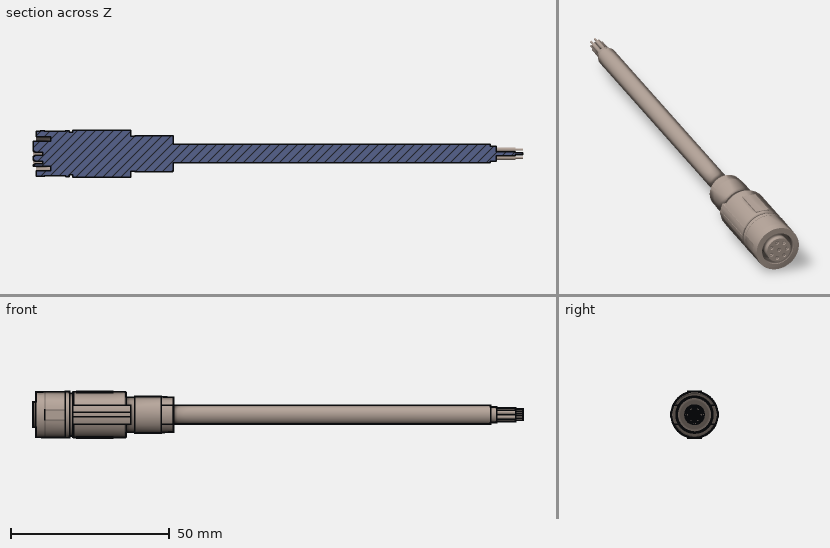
import cadquery as cq
import math


collar_start = 1.0
collar_shoulder = 3.7
band_start = 10.2
band_end = 11.6
sleeve_start = 12.5
sleeve_end = 29.4
rib_end = 30.9
grip_start = 32.1
grip_end = 40.5
tail_end = 44.3
jacket_end = 144.3
inner_jacket_end = 146.2
insulation_end = 152.2
wire_end = 154.5

collar_front_diameter = 14.4
collar_diameter = 14.5
band_diameter = 14.7
groove_diameter = 13.6
sleeve_diameter = 14.5
neck_diameter = 11.1
grip_diameter = 11.6
tail_start_diameter = 11.5
tail_end_diameter = 11.0
jacket_diameter = 6.0
inner_jacket_diameter = 5.0

sleeve_lead_in = 0.3
sleeve_rounding = 0.5

bore_diameter = 10.7
bore_depth = 4.6
insert_diameter = 8.0
contact_circle_diameter = 5.5
contact_entry_diameter = 1.4
contact_entry_depth = 0.5
contact_bore_diameter = 0.8
contact_bore_depth = 3.1
outer_contacts = 7

collar_flat_width = 3.2

pad_start = 13.8
pad_end = 25.2
pad_width = 4.3
height_over_pads = 14.8

rib_diameter = 14.7
rib_width = 6.0
ridge_diameter = 15.0
ridge_width = 1.4

tab_diameter = tail_start_diameter
tab_width = rib_width
tab_rounding = 0.5

outer_wires = 6
wire_circle_diameter = 3.0
insulation_diameter = 1.4
wire_diameter = 0.7


def rod(start, end, diameter, y=0.0, z=0.0):
    """Cylinder along X between two stations."""
    return cq.Workplane("YZ", origin=(start, y, z)).circle(diameter / 2).extrude(end - start)


def block(start, end, width, height):
    """Block along X, centred on the axis, with its width along Y and its height along Z."""
    return cq.Workplane("YZ", origin=(start, 0, 0)).rect(width, height).extrude(end - start)


def revolve_profile(steps):
    """Solid of revolution about X from (station, diameter) steps, closed along the axis."""
    outline = [(station, diameter / 2) for station, diameter in steps]
    first_station = steps[0][0]
    last_station = steps[-1][0]
    closed = [(first_station, 0)] + outline + [(last_station, 0)]
    return cq.Workplane("XY").polyline(closed).close().revolve(360, (0, 0, 0), (1, 0, 0))


def centre_and_ring(count, circle_diameter, first_angle):
    """Centre point followed by equally spaced points on a circle, as (y, z) pairs."""
    positions = [(0.0, 0.0)]
    for index in range(count):
        angle = math.radians(first_angle + index * 360 / count)
        y = circle_diameter / 2 * math.cos(angle)
        z = circle_diameter / 2 * math.sin(angle)
        positions.append((y, z))
    return positions


def side_strips(solid, width):
    """Slice through a solid, leaving strips of the given width showing on its +Y and -Y sides."""
    return solid.intersect(block(0, wire_end, ridge_diameter, width))


def make_body():
    """Collar, neck, grip, tail and cable jackets, turned in one piece."""
    return revolve_profile([
        (collar_start, collar_front_diameter),
        (collar_shoulder, collar_diameter),
        (band_start, collar_diameter),
        (band_start, band_diameter),
        (band_end, band_diameter),
        (band_end, groove_diameter),
        (sleeve_start, groove_diameter),
        (sleeve_start, neck_diameter),
        (grip_start, neck_diameter),
        (grip_start, grip_diameter),
        (grip_end, grip_diameter),
        (grip_end, tail_start_diameter),
        (tail_end, tail_end_diameter),
        (tail_end, jacket_diameter),
        (jacket_end, jacket_diameter),
        (jacket_end, inner_jacket_diameter),
        (inner_jacket_end, inner_jacket_diameter),
    ])


def cut_collar_flats(body):
    """Shallow rectangular flats on the +Y and -Y sides of the collar."""
    width_across_flats = math.sqrt(collar_diameter**2 - collar_flat_width**2)
    outer = block(collar_shoulder, band_start, band_diameter, collar_flat_width)
    kept = block(collar_shoulder, band_start, width_across_flats, collar_flat_width)
    return body.cut(outer.cut(kept))


def make_sleeve():
    """Sleeve with a small lead-in at the plug end and a rounded far end."""
    sleeve = rod(sleeve_start, sleeve_end, sleeve_diameter)
    sleeve = sleeve.faces("<X").edges().chamfer(sleeve_lead_in)
    return sleeve.faces(">X").edges().fillet(sleeve_rounding)


def make_pads():
    """Flat label pads on the top and bottom of the sleeve."""
    return block(pad_start, pad_end, pad_width, height_over_pads)


def make_ribs():
    """Opposite ribs along the sleeve, each with a low ridge along its middle."""
    ribs = side_strips(rod(sleeve_start, rib_end, rib_diameter), rib_width)
    ridges = side_strips(rod(sleeve_start, rib_end, ridge_diameter), ridge_width)
    return ribs.union(ridges)


def make_tabs():
    """Opposite tabs along the tail, rounded at the cable end."""
    tabs = rod(grip_end, tail_end, tab_diameter).faces(">X").edges().fillet(tab_rounding)
    return side_strips(tabs, tab_width)


def make_plug_face(body):
    """Bore in the collar around a projecting insert with stepped contact holes."""
    bore_floor = collar_start + bore_depth
    body = body.cut(rod(collar_start, bore_floor, bore_diameter))
    body = body.union(rod(0, bore_floor, insert_diameter))
    for y, z in centre_and_ring(outer_contacts, contact_circle_diameter, 180):
        body = body.cut(rod(0, contact_entry_depth, contact_entry_diameter, y, z))
        body = body.cut(rod(0, contact_bore_depth, contact_bore_diameter, y, z))
    return body


def add_conductors(body):
    """Insulated conductors with bare wire ends, rooted inside the inner jacket."""
    root = jacket_end
    for y, z in centre_and_ring(outer_wires, wire_circle_diameter, 90):
        body = body.union(rod(root, insulation_end, insulation_diameter, y, z))
        body = body.union(rod(root, wire_end, wire_diameter, y, z))
    return body


result = cut_collar_flats(make_body())
result = result.union(make_sleeve())
result = result.union(make_pads())
result = result.union(make_ribs())
result = result.union(make_tabs())
result = make_plug_face(result)
result = add_conductors(result)